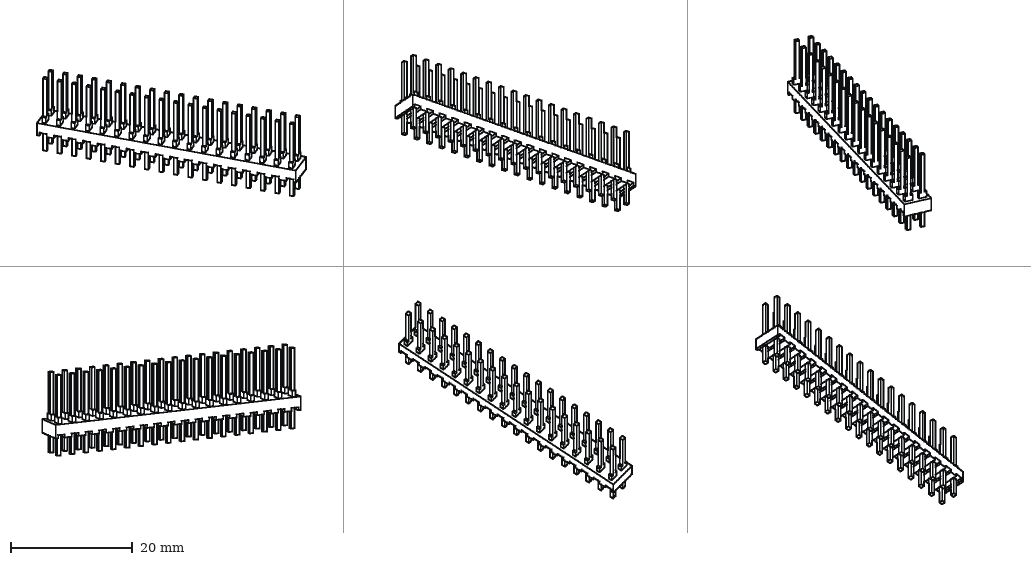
import cadquery as cq

PINS_PER_ROW = 18
ROW_COUNT = 2
PITCH = 2.54

BODY_LENGTH = 45.31
BODY_WIDTH = 4.88
BODY_BOTTOM = 3.16
BODY_TOP = 5.46
BODY_HEIGHT = BODY_TOP - BODY_BOTTOM

SLOT_WIDTH = 1.27
SLOT_DEPTH = 0.54

PIN_SIZE = 0.64
PIN_LENGTH = 13.54
SHOULDER_WIDTH = 1.37
SHOULDER_HEIGHT = 1.0
SHOULDER_TOP = BODY_TOP + SHOULDER_HEIGHT


def centred_positions(count):
    """Coordinates of evenly pitched items, centred on zero."""
    return [(index - (count - 1) / 2) * PITCH for index in range(count)]


def block(size_x, size_y, bottom, top):
    """Box centred on the Z axis, between two heights."""
    box = cq.Workplane("XY").box(size_x, size_y, top - bottom, centered=(True, True, False))
    return box.translate((0, 0, bottom))


def make_body():
    body = block(BODY_LENGTH, BODY_WIDTH, BODY_BOTTOM, BODY_TOP)
    slot = block(SLOT_WIDTH, BODY_WIDTH, BODY_BOTTOM, BODY_BOTTOM + SLOT_DEPTH)
    for x in centred_positions(PINS_PER_ROW):
        body = body.cut(slot.translate((x, 0, 0)))
    return body


def make_pin():
    pin = block(PIN_SIZE, PIN_SIZE, 0, PIN_LENGTH)
    shoulder_bottom = BODY_TOP - BODY_HEIGHT / 2
    return pin.union(block(PIN_SIZE, SHOULDER_WIDTH, shoulder_bottom, SHOULDER_TOP))


def make_header():
    header = make_body()
    pin = make_pin()
    for x in centred_positions(PINS_PER_ROW):
        for y in centred_positions(ROW_COUNT):
            header = header.union(pin.translate((x, y, 0)))
    return header


result = make_header()